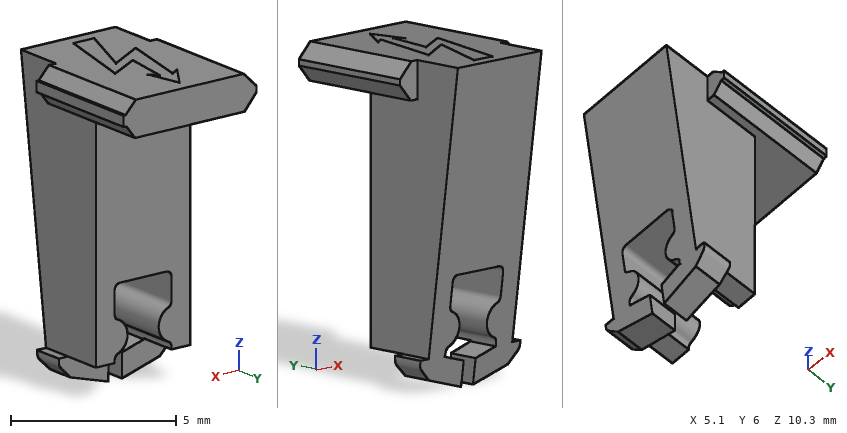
import cadquery as cq
import math

height = 10.28
depth = 6.0

shaft_half_width = 1.81
shaft_bottom = 1.11
shaft_back = 3.7
front_setback = 1.39

head_front = 1.72
head_thickness = 1.21
head_bottom = height - head_thickness
head_top_half_width = 2.07
head_bottom_half_width = 2.1
left_edge = -2.56
left_edge_top = height - 0.48
left_edge_bottom = height - 0.68
right_edge = 2.54
right_edge_top = height - 0.41
right_edge_bottom = height - 0.77
right_ledge = 2.46
right_lip = 2.42
right_lip_drop = 0.02

hook_back = 2.32
hook_half_width = 2.16
hook_shoulder = 0.87
bevel_inset = 0.45
bevel_bottom = hook_shoulder - bevel_inset
hook_corner_radius = 0.28

window_half_width = 1.09
window_top = 3.63
window_foot = 1.08
slit_half_width = 0.26
slit_top = 0.83
window_radius = 0.21
lobe_radius = 0.59
lobe_center_x = 1.18
lobe_center_z = 1.928

arrow_depth = 0.21
arrow_outline = [
    (0, 5.5), (-0.72, 4.45), (-0.39, 4.66), (-1.03, 2.0), (0.36, 2.83), (-0.62, 0.48),
    (0.17, 0.48), (0.99, 3.6), (-0.23, 2.9), (0.03, 4.56), (0.27, 4.26),
]


def extrude_along_y(profile, front, back):
    """Extrude a closed XZ profile from Y = front to Y = back."""
    return profile.extrude(front - back).translate((0, front, 0))


def make_shaft():
    width = 2 * shaft_half_width
    return cq.Workplane("XY").box(
        width, shaft_back, height - shaft_bottom, centered=(True, False, False)
    ).translate((0, 0, shaft_bottom))


def make_head():
    profile = cq.Workplane("XZ").polyline([
        (-head_top_half_width, height),
        (head_top_half_width, height),
        (right_ledge, right_edge_top),
        (right_edge, right_edge_top),
        (right_edge, right_edge_bottom),
        (right_lip, right_edge_bottom - right_lip_drop),
        (head_bottom_half_width, head_bottom),
        (-head_bottom_half_width, head_bottom),
        (left_edge, left_edge_bottom),
        (left_edge, left_edge_top),
    ]).close()
    return extrude_along_y(profile, head_front, depth)


def make_foot():
    """Pointed foot whose overhanging sides become the two hooks."""
    bevel_half_width = hook_half_width - bevel_inset
    profile = cq.Workplane("XZ").polyline([
        (-hook_half_width, shaft_bottom),
        (-hook_half_width, hook_shoulder),
        (-bevel_half_width, bevel_bottom),
        (-slit_half_width, 0),
        (slit_half_width, 0),
        (bevel_half_width, bevel_bottom),
        (hook_half_width, hook_shoulder),
        (hook_half_width, shaft_bottom),
    ]).close()
    foot = extrude_along_y(profile, 0, hook_back)
    corner_reach = 0.01
    for side in (-1, 1):
        corner = cq.selectors.BoxSelector(
            (side * hook_half_width - corner_reach, 0, hook_shoulder - corner_reach),
            (side * hook_half_width + corner_reach, hook_back, hook_shoulder + corner_reach),
        )
        foot = foot.edges(corner).fillet(hook_corner_radius)
    return foot


def make_window():
    """Opening between the legs: rounded top, a lobe on each side, and a slit below."""
    blend_x = window_half_width - window_radius
    center_distance = lobe_radius + window_radius
    blend_dx = lobe_center_x - blend_x
    blend_dz = math.sqrt(center_distance ** 2 - blend_dx ** 2)
    touch_x = lobe_center_x - blend_dx * lobe_radius / center_distance
    touch_dz = blend_dz * lobe_radius / center_distance
    half_angle = math.atan2(blend_dz, blend_dx) / 2
    middle_x = blend_x + window_radius * math.cos(half_angle)
    middle_dz = blend_dz - window_radius * math.sin(half_angle)
    lobe_tip = (lobe_center_x - lobe_radius, lobe_center_z)
    corner_offset = window_radius * math.sqrt(0.5)

    right_half = (
        cq.Workplane("XZ")
        .moveTo(0, 0)
        .lineTo(slit_half_width, 0)
        .lineTo(slit_half_width, slit_top)
        .lineTo(window_half_width, window_foot)
        .lineTo(window_half_width, lobe_center_z - blend_dz)
        .threePointArc((middle_x, lobe_center_z - middle_dz), (touch_x, lobe_center_z - touch_dz))
        .threePointArc(lobe_tip, (touch_x, lobe_center_z + touch_dz))
        .threePointArc((middle_x, lobe_center_z + middle_dz), (window_half_width, lobe_center_z + blend_dz))
        .lineTo(window_half_width, window_top - window_radius)
        .threePointArc(
            (blend_x + corner_offset, window_top - window_radius + corner_offset),
            (blend_x, window_top),
        )
        .lineTo(0, window_top)
        .close()
    )
    right_half = extrude_along_y(right_half, 0, depth)
    return right_half.union(right_half.mirror("YZ"))


def make_front_wedge():
    """Material removed in front of the sloping front face."""
    return (
        cq.Workplane("YZ")
        .polyline([(0, height), (0, 0), (front_setback, 0)])
        .close()
        .extrude(hook_half_width, both=True)
    )


def make_arrow():
    return (
        cq.Workplane("XY", origin=(0, 0, height))
        .polyline(arrow_outline)
        .close()
        .extrude(-arrow_depth)
    )


def make_housing(arrow):
    body = make_shaft().union(make_head()).union(make_foot())
    return body.cut(make_window()).cut(make_front_wedge()).cut(arrow)


arrow = make_arrow()
housing = make_housing(arrow)

result = cq.Compound.makeCompound([housing.solids().val(), arrow.val()])